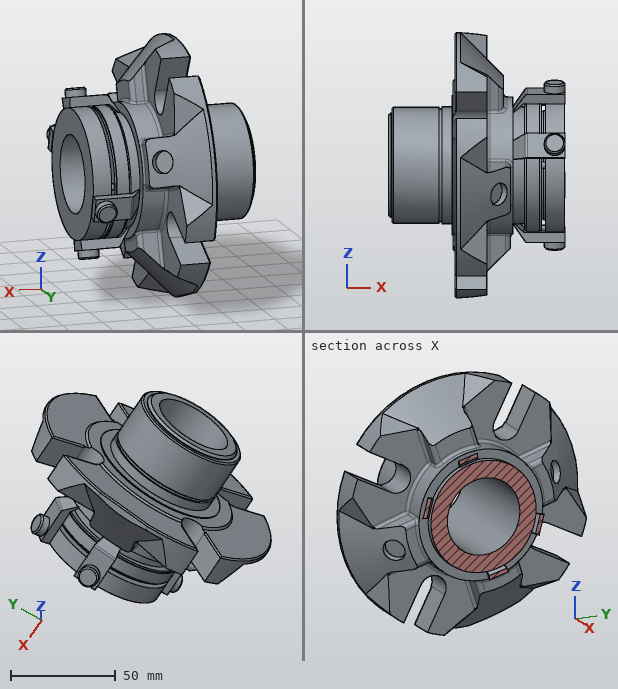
import cadquery as cq
import math


bore_d = 38.1
nose_d = 50.0
nose_end = 1.6
nose_chamfer = 1.3
sleeve_d = 55.5
neck_d = 55.9
sleeve_chamfer = 0.8
groove_d = 54.0
groove_start = 24.1
groove_end = 25.6

front_hub_d = 66.7
front_hub_start = 30.3
gasket_r = 41.2
gasket_start = 30.8
gasket_chamfer = 1.0
flange_r = 63.4
flange_front = 31.8
flange_back = 47.0
flange_chamfer = 0.8
rim_end = 34.5
rear_hub_r = 32.7
rear_hub_end = 59.4
root_fillet = 1.5

boss_angle = 18.0
quarter_turns = [0, 90, 180, 270]
boss_half_width = 11.9
boss_end = 58.4
short_boss_end = 55.0
short_boss_turn = 90
boss_corner_r = 2.4
port_d = 11.0
port_x = 52.8
port_depth = 3.5
port_turns = [0, 180]
flat_turn = 270
flat_apothem = 61.8

relief_corner = 23.0
relief_tilt = 28.2
relief_rise = 13.5

slot_r = 7.03
slot_center_r = 43.0

core_d = 51.5
collar_d = 63.7
collar_start = 65.0
collar_end = 73.1
collar_lip = 0.9
collar_lip_r = 31.2
core_step = 74.1
core_step_r = 26.2
ring_start = 74.9
ring_end = 84.1
pin_sets = [(3.2, 29.0, [0, 180]), (2.8, 30.4, [100, 280])]

clip_angles = [105, 165, 285, 345]
clip_half_width = 6.1
clip_inner = collar_d / 2
clip_overlap = 0.1
clip_outer = 36.6
clip_bend = 65.6
clip_bend_r = 1.3
clip_inner_bend = 64.6
clip_tip_outer = 27.8
clip_tip_inner = 26.9
clip_end = 84.4
head_d = 10.0
head_top = 40.9
head_chamfer = 0.8

slot_angle = boss_angle + 45
big = 2 * flange_r


def turn(body, angle):
    return body.rotate((0, 0, 0), (1, 0, 0), angle)


def revolved(points):
    """Solid of revolution about X from (x, radius) points."""
    return cq.Workplane("XY").polyline(points).close().revolve(360, (0, 0, 0), (1, 0, 0))


def disc(radius, start, end):
    return cq.Workplane("YZ").workplane(offset=start).circle(radius).extrude(end - start)


def cone_r(x):
    """Radius of the 45 degree cone that tops the bosses."""
    return flange_r - (x - rim_end)


def make_flange():
    return revolved([
        (flange_front, 0),
        (flange_front, flange_r - flange_chamfer),
        (flange_front + flange_chamfer, flange_r),
        (flange_back, flange_r),
        (flange_back, 0),
    ])


def slab(start, end, inner, outer, half_width):
    """Block spanning X start..end, radius inner..outer, centred tangentially."""
    size = (end - start, outer - inner, 2 * half_width)
    return cq.Workplane("XY").box(*size, centered=(False, False, True)).translate((start, inner, 0))


def make_boss(end):
    """Straight-walled boss with rounded end corners, before its cone is cut."""
    block = slab(flange_back - 1.3, end, 0, flange_r - 2.5, boss_half_width)
    return block.edges("|Y and >X").fillet(boss_corner_r)


def make_body():
    """Flange and rear hub with four straight-walled bosses, filleted at their roots."""
    spare_length = rear_hub_end + 3 * root_fillet
    hub = disc(rear_hub_r, flange_back - 1.3, spare_length)
    for quarter in quarter_turns:
        end = short_boss_end if quarter == short_boss_turn else boss_end
        hub = hub.union(turn(make_boss(end), boss_angle + quarter))
    reach = rear_hub_r + 0.3
    near_hub = cq.selectors.BoxSelector(
        (flange_back - 1.1, -reach, -reach), (boss_end + 0.1, reach, reach)
    )
    hub = hub.edges(near_hub).fillet(root_fillet)
    hub = hub.intersect(disc(big, flange_back - 2.5, rear_hub_end))

    body = make_flange().union(hub)
    back_plane = cq.selectors.BoxSelector((flange_back - 0.1, -big, -big), (flange_back + 0.1, big, big))
    root_edges = body.edges(back_plane).filter(lambda edge: edge.Length() < flange_r)
    return root_edges.fillet(root_fillet)


def outside_cone(start, end):
    """Ring of space outside the boss cone between two X places."""
    return revolved([(start, cone_r(start)), (end, cone_r(end)), (end, big), (start, big)])


def make_trough():
    """V trough, opening outwards, whose flanks blend one boss cone into the rim."""
    corner_height = math.sqrt(flange_r**2 - relief_corner**2)
    tilt = math.radians(relief_tilt)
    rise = math.tan(math.radians(relief_rise))
    valley_height = corner_height - relief_corner * rise / math.cos(tilt)
    section = [(0, 0), (big, big * rise), (big, big), (-big, big), (-big, big * rise)]
    along = cq.Plane(
        origin=(rim_end, valley_height, 0),
        xDir=(0, 0, 1),
        normal=(-math.cos(tilt), math.sin(tilt), 0),
    )
    return cq.Workplane(along).polyline(section).close().extrude(big, both=True)


def trim_bosses(body):
    """Cut the boss cones with their rim reliefs, the short boss and the rim flat."""
    kept_rim = disc(big + 1.3, flange_front, flange_back)
    trough = make_trough()
    for quarter in quarter_turns:
        kept_rim = kept_rim.cut(turn(trough, boss_angle + quarter))
    body = body.cut(outside_cone(rim_end, rear_hub_end).cut(kept_rim))
    flat_profile = [
        (flange_front, flat_apothem - flange_chamfer),
        (flange_front + flange_chamfer, flat_apothem),
        (flange_back, flat_apothem),
        (flange_back, big),
        (flange_front, big),
    ]
    flat = cq.Workplane("XY").polyline(flat_profile).close().extrude(flange_r, both=True)
    return body.cut(turn(flat, boss_angle + flat_turn))


def make_port():
    """Blind port square to the boss cone."""
    inward = cq.Plane(
        origin=(port_x + port_depth, cone_r(port_x) + port_depth, 0),
        xDir=(0, 0, 1),
        normal=(-1, -1, 0),
    )
    length = port_depth * (1 + math.sqrt(2))
    return cq.Workplane(inward).circle(port_d / 2).extrude(length)


def make_slot():
    """Open-ended bolt slot with its mouth edges broken on the flange front face."""
    start = front_hub_start - 1.3
    end = rear_hub_end
    slot = slab(start, end, slot_center_r, big, slot_r)
    slot = slot.union(disc(slot_r, start, end).translate((0, slot_center_r, 0)))
    half_mouth = slot_r + 2 * flange_chamfer
    mouth = [
        (flange_front - flange_chamfer, half_mouth),
        (flange_front + flange_chamfer, slot_r),
        (flange_front + flange_chamfer, -slot_r),
        (flange_front - flange_chamfer, -half_mouth),
    ]
    return slot.union(
        cq.Workplane("XZ", origin=(0, slot_center_r, 0)).polyline(mouth).close().extrude(-big)
    )


def make_core():
    """Sleeve, front hub, rear hub end, collar and drive ring as one turned shape."""
    gasket_face_r = gasket_r - gasket_chamfer
    collar_r = collar_d / 2
    neck_r = neck_d / 2
    return revolved([
        (0, 0),
        (0, nose_d / 2 - nose_chamfer),
        (nose_chamfer, nose_d / 2),
        (nose_end, nose_d / 2),
        (nose_end, sleeve_d / 2 - sleeve_chamfer),
        (nose_end + sleeve_chamfer, sleeve_d / 2),
        (groove_start, sleeve_d / 2),
        (groove_start, groove_d / 2),
        (groove_end, groove_d / 2),
        (groove_end, neck_r),
        (front_hub_start, neck_r),
        (front_hub_start, front_hub_d / 2),
        (gasket_start, front_hub_d / 2),
        (gasket_start, gasket_face_r),
        (flange_front, gasket_r),
        (flange_front + flange_chamfer, gasket_r),
        (flange_front + flange_chamfer, rear_hub_r),
        (rear_hub_end, rear_hub_r),
        (rear_hub_end, neck_r),
        (collar_start, neck_r),
        (collar_start, collar_lip_r),
        (collar_start + collar_lip, collar_lip_r),
        (collar_start + collar_lip, collar_r),
        (collar_end - collar_lip, collar_r),
        (collar_end - collar_lip, collar_lip_r),
        (collar_end, collar_lip_r),
        (collar_end, core_d / 2),
        (core_step, core_d / 2),
        (core_step, core_step_r),
        (ring_start, core_step_r),
        (ring_start, collar_r),
        (ring_end, collar_r),
        (ring_end, 0),
    ])


def make_clip():
    """Bent setting clip with radial sides and its radial screw head."""
    profile = [
        (rear_hub_end, clip_tip_outer),
        (clip_bend, clip_outer),
        (clip_end, clip_outer),
        (clip_end, clip_inner - clip_overlap),
        (clip_inner_bend, clip_inner - clip_overlap),
        (rear_hub_end, clip_tip_inner),
    ]
    bar = cq.Workplane("XY").polyline(profile).close().extrude(2 * clip_half_width, both=True)
    bar = bar.edges(cq.selectors.NearestToPointSelector((clip_bend, clip_outer, 0))).fillet(clip_bend_r)
    half_spread = big * clip_half_width / clip_outer
    wedge = [(0, 0), (big, half_spread), (big, -half_spread)]
    clip = bar.intersect(cq.Workplane("YZ").polyline(wedge).close().extrude(clip_end))
    head = (
        cq.Workplane("XZ", origin=(clip_end - head_d / 2, clip_inner, 0))
        .circle(head_d / 2)
        .extrude(clip_inner - head_top)
        .faces(">Y")
        .chamfer(head_chamfer)
    )
    return clip.union(head)


def make_pin(diameter, radius):
    """Axial drive pin bridging the gap between collar and drive ring."""
    return disc(diameter / 2, collar_end - collar_lip, ring_start + collar_lip).translate((0, radius, 0))


body = trim_bosses(make_body()).union(make_core())
for quarter in quarter_turns:
    body = body.cut(turn(make_slot(), slot_angle + quarter))
for port_turn in port_turns:
    body = body.cut(turn(make_port(), boss_angle + port_turn))
for diameter, radius, angles in pin_sets:
    for angle in angles:
        body = body.union(turn(make_pin(diameter, radius), angle))
for angle in clip_angles:
    body = body.union(turn(make_clip(), angle))
result = body.cut(disc(bore_d / 2, -1.3, clip_end + 1.3))